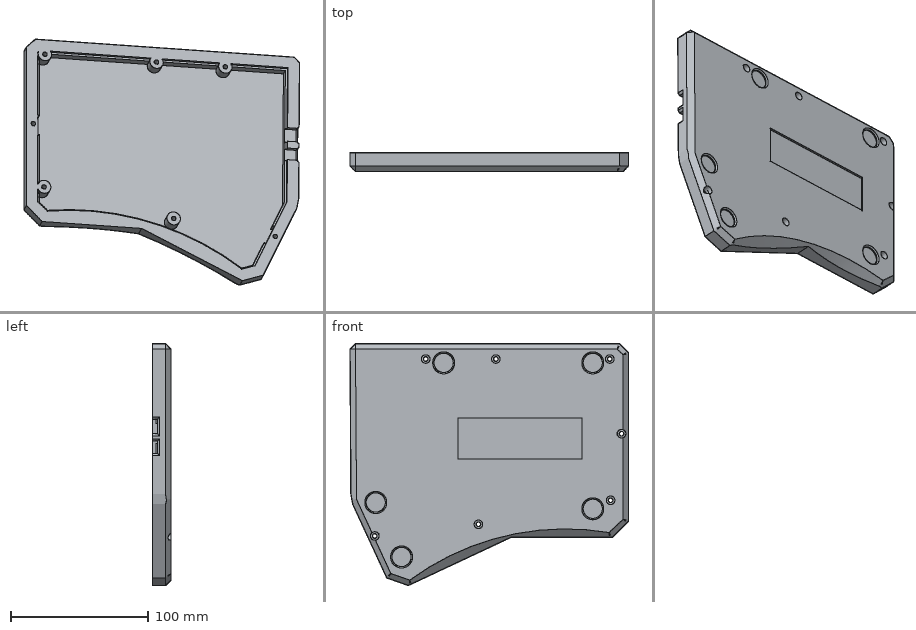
import cadquery as cq

WIDTH = 202.98
HEIGHT = 176.24
THICKNESS = 13.7
BEVEL = 4.0
BEVEL_TAPER = -45

TOP_LEFT_CORNER = 4.05
TOP_RIGHT_CORNER = 6.5
LOWER_RIGHT_CORNER = 11.6
LOWER_EDGE_Z = -141.1
LOWER_EDGE_START_X = 117.4
TIP = (42.5, -HEIGHT)
FOOT_CORNER = (26.8, -170.7)
LEFT_CORNER_UPPER = (0.6, -109.6)
LEFT_CORNER_LOWER = (2.0, -117.1)

FACE_TOP_LEFT = (TOP_LEFT_CORNER, -BEVEL)
FACE_LEFT = (4.8, -113.4)
FACE_FOOT = (29.8, -167.5)
ARC_START = (43.6, -172.3)
ARC_MIDDLE = (90.6, -146.9)
ARC_END = (188.8, -137.6)
FACE_RIGHT_X = WIDTH - BEVEL
FACE_RIGHT_UPPER_Z = -8.1
FACE_RIGHT_LOWER_Z = -128.0
FACE_TOP_RIGHT_X = 194.8

WALL = 8.5
LEDGE_WIDTH = 1.5
LEDGE_DEPTH = 2.5
FLOOR = 4.0
BOSS_DIAMETER = 10.0
LEDGE_GAP_DIAMETER = 17.6

SCREW_DIAMETER = 3.2
SCREW_HEAD_DIAMETER = 6.2
SCREW_HEAD_DEPTH = 6.0
TOP_SCREW_Z = -11.2
WALL_SCREWS = [(197.9, -65.6), (18.1, -140.1)]
BOSS_SCREWS = [
    (55.2, TOP_SCREW_Z),
    (106.3, TOP_SCREW_Z),
    (189.3, TOP_SCREW_Z),
    (189.9, -114.1),
    (93.6, -131.6),
]
SCREWS = WALL_SCREWS + BOSS_SCREWS

FOOT_OUTER_DIAMETER = 16.0
FOOT_FLOOR_DIAMETER = 14.0
FOOT_DEPTH = 1.8
FOOT_TAPER_DEPTH = 1.0
RIGHT_FOOT_X = 176.9
TOP_FOOT_Z = -14.0
FEET = [
    (68.3, TOP_FOOT_Z),
    (RIGHT_FOOT_X, TOP_FOOT_Z),
    (RIGHT_FOOT_X, -120.3),
    (18.8, -115.7),
    (37.6, -155.4),
]

LABEL_LENGTH = 90.2
LABEL_HEIGHT = 30.0
LABEL_CENTER = (123.8, -69.1)
LABEL_DEPTH = 1.5

PORT_DEPTH = 5.3
PORT_FLARE = 1.6
PORT_FACE_X = 0.3
PORTS = [(-53.5, -67.2), (-69.3, -81.5)]

CUT_MARGIN = 1.0
CORNER_CUT_SIZE = 30.0


def plane_at(depth):
    """Work plane parallel to the front face, this far behind it, facing the front."""
    return cq.Workplane("XZ", origin=(0, depth - THICKNESS, 0))


def back_outline():
    return (
        plane_at(THICKNESS)
        .moveTo(0, -TOP_LEFT_CORNER)
        .lineTo(TOP_LEFT_CORNER, 0)
        .lineTo(WIDTH - TOP_RIGHT_CORNER, 0)
        .lineTo(WIDTH, -TOP_RIGHT_CORNER)
        .lineTo(WIDTH, LOWER_EDGE_Z + LOWER_RIGHT_CORNER)
        .lineTo(WIDTH - LOWER_RIGHT_CORNER, LOWER_EDGE_Z)
        .lineTo(LOWER_EDGE_START_X, LOWER_EDGE_Z)
        .lineTo(*TIP)
        .lineTo(*FOOT_CORNER)
        .lineTo(*LEFT_CORNER_LOWER)
        .lineTo(*LEFT_CORNER_UPPER)
        .close()
    )


def face_outline(depth):
    return (
        plane_at(depth)
        .moveTo(*FACE_TOP_LEFT)
        .lineTo(FACE_TOP_RIGHT_X, -BEVEL)
        .lineTo(FACE_RIGHT_X, FACE_RIGHT_UPPER_Z)
        .lineTo(FACE_RIGHT_X, FACE_RIGHT_LOWER_Z)
        .lineTo(*ARC_END)
        .threePointArc(ARC_MIDDLE, ARC_START)
        .lineTo(*FACE_FOOT)
        .lineTo(*FACE_LEFT)
        .close()
    )


def top_left_corner_cut():
    """Block outside the sloping plane from the top left back corner to the face corner."""
    edge_y = BEVEL - THICKNESS
    start = cq.Vector(0, edge_y, -TOP_LEFT_CORNER)
    along = cq.Vector(TOP_LEFT_CORNER, edge_y, 0) - start
    to_face = cq.Vector(FACE_TOP_LEFT[0], -THICKNESS, FACE_TOP_LEFT[1]) - start
    outward = to_face.cross(along)
    plane = cq.Plane(origin=start.toTuple(), xDir=along.toTuple(), normal=outward.toTuple())
    return cq.Workplane(plane).rect(CORNER_CUT_SIZE, CORNER_CUT_SIZE).extrude(CORNER_CUT_SIZE)


def body():
    """Back outline as a prism, trimmed to the bevel spreading backwards from the front face."""
    prism = back_outline().extrude(THICKNESS)
    spread = face_outline(0).extrude(-THICKNESS, taper=BEVEL_TAPER)
    return prism.intersect(spread).cut(top_left_corner_cut())


def cylinders(points, diameter, back_depth, length):
    """Cylinders of this length, running towards the front from a depth behind the face."""
    return plane_at(back_depth).pushPoints(points).circle(diameter / 2).extrude(length)


def hollow_prism(wall, length):
    """Prism cut into the back, leaving a wall of this thickness all round."""
    return face_outline(THICKNESS).offset2D(BEVEL - wall).extrude(length)


def cavity():
    depth = THICKNESS - FLOOR
    inside_walls = hollow_prism(WALL, depth)
    inside_ledge = hollow_prism(WALL + LEDGE_WIDTH, depth)
    above_ledge = hollow_prism(WALL, LEDGE_DEPTH)
    ledge_gaps = cylinders(WALL_SCREWS, LEDGE_GAP_DIAMETER, THICKNESS, depth).intersect(inside_walls)
    bosses = cylinders(BOSS_SCREWS, BOSS_DIAMETER, THICKNESS, depth)
    return inside_ledge.union(above_ledge).union(ledge_gaps).cut(bosses)


def screw_holes():
    shafts = cylinders(SCREWS, SCREW_DIAMETER, THICKNESS, THICKNESS)
    heads = cylinders(SCREWS, SCREW_HEAD_DIAMETER, SCREW_HEAD_DEPTH, SCREW_HEAD_DEPTH)
    return shafts.union(heads)


def foot_recess(x, z):
    mouth = (
        plane_at(FOOT_TAPER_DEPTH)
        .center(x, z)
        .circle(FOOT_FLOOR_DIAMETER / 2)
        .workplane(offset=FOOT_TAPER_DEPTH)
        .circle(FOOT_OUTER_DIAMETER / 2)
        .loft()
    )
    return mouth.union(cylinders([(x, z)], FOOT_FLOOR_DIAMETER, FOOT_DEPTH, FOOT_DEPTH))


def label_recess():
    floor = plane_at(LABEL_DEPTH).center(*LABEL_CENTER)
    return floor.rect(LABEL_LENGTH, LABEL_HEIGHT).extrude(LABEL_DEPTH)


def port_block(x, length, top, bottom, depth):
    """Block reaching from the back to this depth, starting at x."""
    block = cq.Workplane("XY").box(length, depth, top - bottom, centered=False)
    return block.translate((x, -depth, bottom))


def port(top, bottom):
    """Opening that narrows from the outer wall face and then runs straight into the hollow."""
    throat_length = WALL + LEDGE_WIDTH + CUT_MARGIN
    throat_depth = PORT_DEPTH - PORT_FLARE
    throat = port_block(PORT_FACE_X, throat_length, top - PORT_FLARE, bottom + PORT_FLARE, throat_depth)
    mouth = port_block(-CUT_MARGIN, CUT_MARGIN + PORT_FACE_X, top, bottom, PORT_DEPTH)
    middle = (top + bottom) / 2
    outer_height = top - bottom
    flare = (
        cq.Workplane("YZ", origin=(PORT_FACE_X, 0, middle))
        .rect(2 * PORT_DEPTH, outer_height)
        .workplane(offset=PORT_FLARE)
        .rect(2 * throat_depth, outer_height - 2 * PORT_FLARE)
        .loft()
    )
    return throat.union(mouth).union(flare)


result = body().cut(cavity()).cut(screw_holes()).cut(label_recess())
for foot_x, foot_z in FEET:
    result = result.cut(foot_recess(foot_x, foot_z))
for port_top, port_bottom in PORTS:
    result = result.cut(port(port_top, port_bottom))